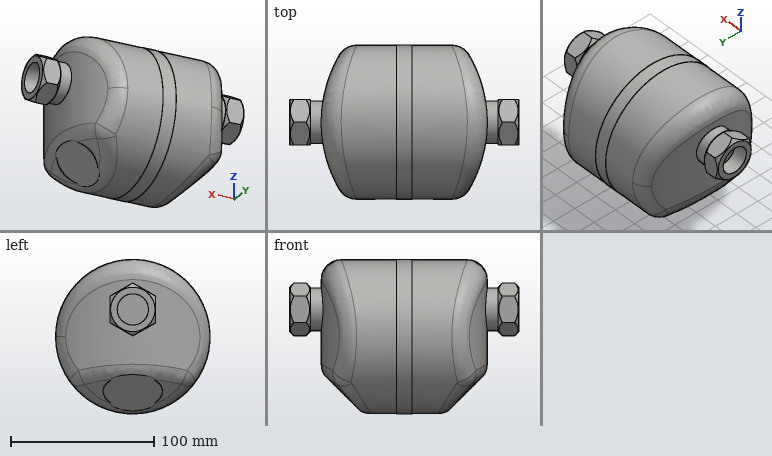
import cadquery as cq
import math

body_radius = 53.8
body_fillet = 14.0
end_reach = 58.0
end_crown_radius = 93.0
slope_angle = 45.0
slope_reach = 58.7
slope_crown_radius = 300.0
envelope_size = 4 * body_radius

band_radius = 54.0
band_width = 10.5

pad_drop = 0.4
pad_reach = slope_reach - pad_drop
pad_half_width = 20.7
pad_half_length = 16.7
pad_uphill_shift = 4.2
pad_thickness = 1.0

fitting_height = 19.0
fitting_reach = 80.0
pipe_diameter = 30.0
bore_diameter = 21.8
bore_depth = 12.0
hex_across_flats = 32.0
hex_across_corners = hex_across_flats / math.cos(math.radians(30))
hex_length = 14.5
hex_face_diameter = 31.0
hex_chamfer = (hex_across_corners - hex_face_diameter) / 2


def mirrored_pair(shape):
    """The shape joined with its mirror image on the opposite end of the body."""
    return shape.union(shape.mirror("YZ"))


def tilt_to_slope(shape):
    """Turn a shape that faces +X so that it faces along the normal of the +X slope."""
    return shape.rotate((0, 0, 0), (0, 1, 0), slope_angle)


def crowned_block(reach, crown_radius):
    """Tall block whose two X faces bulge to the given reach, curved about vertical axes."""
    half_width = envelope_size / 4
    sagitta = crown_radius - math.sqrt(crown_radius**2 - half_width**2)
    corner_x = reach - sagitta
    return (
        cq.Workplane("XY")
        .moveTo(corner_x, -half_width)
        .threePointArc((reach, 0), (corner_x, half_width))
        .lineTo(-corner_x, half_width)
        .threePointArc((-reach, 0), (-corner_x, -half_width))
        .close()
        .extrude(envelope_size / 2, both=True)
    )


def half_space_block(reach):
    """Large block with its flat -X face at the given reach."""
    block = cq.Workplane("XY").box(envelope_size, envelope_size, envelope_size)
    return block.translate((reach + envelope_size / 2, 0, 0))


def slope_limit():
    """Everything on the inner side of the crowned +X sloped face."""
    inner_side = half_space_block(-envelope_size)
    return tilt_to_slope(crowned_block(slope_reach, slope_crown_radius).union(inner_side))


def make_body():
    slope = slope_limit()
    body = cq.Workplane("YZ").circle(body_radius).extrude(envelope_size / 2, both=True)
    body = body.intersect(crowned_block(end_reach, end_crown_radius))
    body = body.intersect(slope).intersect(slope.mirror("YZ"))
    return body.edges().fillet(body_fillet)


def make_band():
    return cq.Workplane("YZ").circle(band_radius).extrude(band_width / 2, both=True)


def make_pad():
    pad = (
        cq.Workplane("YZ", origin=(pad_reach - pad_thickness, 0, 0))
        .center(0, pad_uphill_shift)
        .ellipse(pad_half_width, pad_half_length)
        .extrude(pad_thickness)
    )
    return tilt_to_slope(pad)


def make_nut():
    """Hexagonal nut with corners up and down, chamfered by turning at both ends."""
    start = cq.Workplane("YZ", origin=(fitting_reach - hex_length, 0, 0))
    hexagon = start.polygon(6, hex_across_corners).extrude(hex_length)
    hexagon = hexagon.rotate((0, 0, 0), (1, 0, 0), 90)
    turned = start.circle(hex_across_corners / 2).extrude(hex_length)
    turned = turned.faces("<X or >X").chamfer(hex_chamfer)
    return hexagon.intersect(turned)


def make_fitting():
    pipe_length = fitting_reach - hex_length / 2
    pipe = cq.Workplane("YZ").circle(pipe_diameter / 2).extrude(pipe_length)
    bore = (
        cq.Workplane("YZ", origin=(fitting_reach - bore_depth, 0, 0))
        .circle(bore_diameter / 2)
        .extrude(bore_depth)
    )
    return pipe.union(make_nut()).cut(bore).translate((0, 0, fitting_height))


pad_trim = tilt_to_slope(half_space_block(pad_reach))
result = make_body().cut(pad_trim).cut(pad_trim.mirror("YZ"))
result = result.union(mirrored_pair(make_pad()))
result = result.union(make_band())
result = result.union(mirrored_pair(make_fitting()))